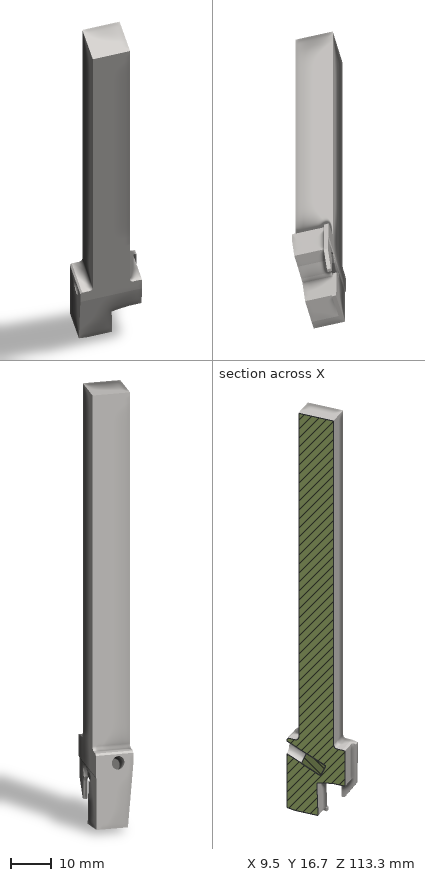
import cadquery as cq
import math

length = 113.3
thickness = 9.5
head_depth = 16.7

shank_width = 9.5
shank_front = 3.2
shank_back = shank_front + shank_width
head_top = 21.1
fillet_radius = 0.9
front_chamfer = 0.5
back_bevel_run = 1.6
back_bevel_drop = 0.3

blade_thickness = 1.2
support_depth = 15.7
support_bottom = 1.0
web_fillet = 0.5

jaw_front_z = 1.4
jaw_tip_y = 8.8
jaw_lip_z = 0.9
jaw_neck_y = 8.5
jaw_root = (8.2, 10.1)

roof_back = (12.5, 11.0)
finger_root = (12.8, 9.9)
finger_tip_z = 5.1
finger_tip_inner_y = 12.8
finger_tip_outer_y = 13.6
finger_shoulder_z = 9.5

roof_knee = (9.2, 10.4)
back_lobe_side = (13.1, 12.7)
back_lobe_top = (11.5, 14.7)
slot_top_z = 13.7
slot_neck_y = 9.6
front_lobe_top_y = 6.7
front_lobe_side = (6.0, 12.6)
front_lobe_bottom = (7.0, 11.4)

relief_depth = 0.2
relief_top = 15.1
relief_ramp = 0.6

taper_top = 17.6
taper_inset = 1.5

hole_diameter = 3.2
hole_x = 5.7
hole_z = 18.4
hole_tilt = 24.0
hole_depth = 10.7
screw_length = 5.7


def extrude_x(sketch, distance):
    """Extrude a closed YZ outline along +X."""
    return sketch.close().extrude(distance)


def make_blade_slot():
    """Two-lobed slot through the blade, opening into the jaw gap."""
    sketch = (
        cq.Workplane("YZ")
        .moveTo(*jaw_root)
        .lineTo(*roof_knee)
        .lineTo(*roof_back)
        .threePointArc(back_lobe_side, back_lobe_top)
        .lineTo(slot_neck_y, slot_top_z)
        .lineTo(front_lobe_top_y, slot_top_z)
        .threePointArc(front_lobe_side, front_lobe_bottom)
        .lineTo(jaw_root[0], front_lobe_bottom[1])
    )
    return extrude_x(sketch, blade_thickness)


def make_profile():
    """Full side outline of shank, head, lower jaw and finger."""
    sketch = (
        cq.Workplane("YZ")
        .moveTo(0, jaw_front_z)
        .lineTo(jaw_tip_y, 0)
        .lineTo(jaw_tip_y, jaw_lip_z)
        .lineTo(jaw_neck_y, jaw_lip_z)
        .lineTo(*jaw_root)
        .lineTo(*roof_knee)
        .lineTo(*roof_back)
        .lineTo(*finger_root)
        .lineTo(finger_tip_inner_y, finger_tip_z)
        .lineTo(finger_tip_outer_y, finger_tip_z)
        .lineTo(head_depth, finger_shoulder_z)
        .lineTo(head_depth, head_top - back_bevel_drop)
        .lineTo(head_depth - back_bevel_run, head_top)
        .lineTo(shank_back + fillet_radius, head_top)
        .radiusArc((shank_back, head_top + fillet_radius), fillet_radius)
        .lineTo(shank_back, length)
        .lineTo(shank_front, length)
        .lineTo(shank_front, head_top + fillet_radius)
        .radiusArc((shank_front - fillet_radius, head_top), fillet_radius)
        .lineTo(front_chamfer, head_top)
        .lineTo(0, head_top - front_chamfer)
    )
    return extrude_x(sketch, thickness)


def make_support_cuts():
    """Material removed behind the blade: finger, head back and jaw bottom."""
    support_thickness = thickness - blade_thickness
    behind_finger = cq.Workplane("XY").box(
        support_thickness, head_depth - jaw_root[0], roof_back[1], centered=False
    ).translate((blade_thickness, roof_back[0], 0))
    behind_head = cq.Workplane("XY").box(
        support_thickness, head_depth - support_depth, head_top, centered=False
    ).translate((blade_thickness, support_depth, 0)).edges("<X and <Y").fillet(web_fillet)
    below_jaw = cq.Workplane("XY").box(
        support_thickness, head_depth, support_bottom, centered=False
    ).translate((blade_thickness, 0, 0))
    return behind_finger.union(behind_head).union(below_jaw)


def make_face_relief():
    """Shallow relief of the blade-side face, ending in a ramp."""
    return (
        cq.Workplane("XZ")
        .polyline([
            (0, 0),
            (relief_depth, 0),
            (relief_depth, relief_top - relief_ramp),
            (0, relief_top),
        ])
        .close()
        .extrude(-head_depth)
    )


def make_side_taper():
    """Wedge that narrows the head toward the jaw."""
    return (
        cq.Workplane("XZ")
        .polyline([
            (thickness, 0),
            (thickness, taper_top),
            (thickness - taper_inset, 0),
        ])
        .close()
        .extrude(-head_depth)
    )


def tilted_cylinder(start_depth, end_depth):
    """Cylinder on the screw axis between two depths measured from the front face."""
    tilt = math.radians(hole_tilt)
    direction = cq.Vector(0, math.cos(tilt), -math.sin(tilt))
    start = cq.Vector(hole_x, 0, hole_z) + direction * start_depth
    return cq.Workplane(
        cq.Solid.makeCylinder(hole_diameter / 2, end_depth - start_depth, start, direction)
    )


def make_holder():
    """Shank, head, jaw and finger in one piece, with a blind screw hole."""
    screw_hole = tilted_cylinder(-hole_diameter, hole_depth)
    return (
        make_profile()
        .cut(make_support_cuts())
        .cut(make_blade_slot())
        .cut(make_face_relief())
        .cut(make_side_taper())
        .cut(screw_hole)
    )


def make_screw():
    """Headless screw seated at the bottom of the tilted hole."""
    return tilted_cylinder(hole_depth - screw_length, hole_depth)


holder = make_holder()
screw = make_screw()

result = cq.Compound.makeCompound([holder.solids().val(), screw.val()])